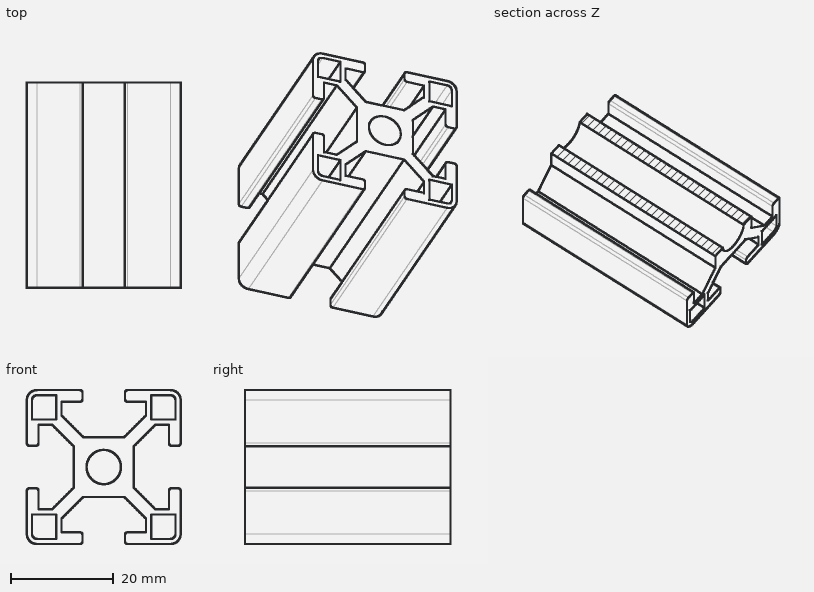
import cadquery as cq

width = 30.0
length = 40.0
corner_radius = 2.0

slot_opening = 8.25
lip_thickness = 2.3
lip_radius = 0.5
slot_inner_width = 16.4

core_width = 11.7
core_flat_width = 8.0
bore_diameter = 6.65

cavity_wall = 1.05
cavity_size = 4.7
cavity_radius = corner_radius - cavity_wall

half_width = width / 2
half_opening = slot_opening / 2
half_inner = slot_inner_width / 2
half_core = core_width / 2
half_flat = core_flat_width / 2
lip_inner = half_width - lip_thickness
flank_top = half_core + (half_inner - half_flat)


def profile_plane():
    """XZ workplane at the -Y end; a negative extrusion runs toward +Y."""
    return cq.Workplane("XZ", origin=(0, -length / 2, 0))


def make_slot():
    """T-slot cutter for the +Z side, with its lip edges rounded."""
    outer_start = half_opening + lip_radius
    lip_middle = half_width - lip_radius
    lip_bottom = lip_inner + lip_radius
    right_half = (
        profile_plane()
        .moveTo(0, half_width)
        .lineTo(outer_start, half_width)
        .radiusArc((half_opening, lip_middle), -lip_radius)
        .lineTo(half_opening, lip_bottom)
        .radiusArc((outer_start, lip_inner), -lip_radius)
        .lineTo(half_inner, lip_inner)
        .lineTo(half_inner, flank_top)
        .lineTo(half_flat, half_core)
        .lineTo(0, half_core)
        .close()
        .extrude(-length)
    )
    return right_half.union(right_half.mirror("YZ"))


def make_cavity():
    """Corner hollow for the +X +Z corner, rounded at its outer edge."""
    center = half_width - cavity_wall - cavity_size / 2
    return (
        profile_plane()
        .center(center, center)
        .rect(cavity_size, cavity_size)
        .extrude(-length)
        .edges("|Y")
        .edges(cq.selectors.DirectionMinMaxSelector(cq.Vector(1, 0, 1), True))
        .fillet(cavity_radius)
    )


result = profile_plane().rect(width, width).extrude(-length).edges("|Y").fillet(corner_radius)

slot = make_slot()
cavity = make_cavity()
for angle in (0, 90, 180, 270):
    result = result.cut(slot.rotate((0, 0, 0), (0, 1, 0), angle))
    result = result.cut(cavity.rotate((0, 0, 0), (0, 1, 0), angle))

bore = profile_plane().circle(bore_diameter / 2).extrude(-length)
result = result.cut(bore)